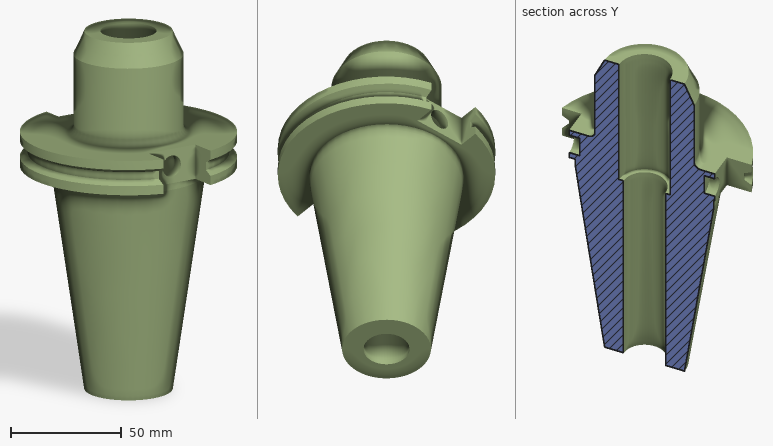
import cadquery as cq
import math

total_height = 168.2
taper_height = 101.5
collar_height = 3.2
flange_height = 16.1
flange_bottom = taper_height + collar_height
flange_top = flange_bottom + flange_height
flange_middle = flange_bottom + flange_height / 2

taper_large_diameter = 69.8
taper_ratio = 7 / 24
taper_small_diameter = taper_large_diameter - taper_height * taper_ratio

flange_diameter = 98.4
groove_depth = 3.5
groove_floor_height = 3.7
groove_mouth_height = 7.5

slot_width = 25.7
left_slot_floor_x = -37.7
right_slot_floor_x = 35.1
side_hole_diameter = 10.0
side_hole_depth = 5.0

nose_diameter = 50.0
nose_tip_diameter = 40.0
nose_cone_height = 10.8
nose_fillet_radius = 3.0

tool_bore_diameter = 25.4
tool_bore_depth = 67.3
through_bore_diameter = 20.9


def make_body():
    """Revolve the shank, flange and nose profile about Z."""
    flange_radius = flange_diameter / 2
    groove_radius = flange_radius - groove_depth
    nose_radius = nose_diameter / 2
    fillet_offset = nose_fillet_radius * (1 - math.sqrt(0.5))
    return (
        cq.Workplane("XZ")
        .lineTo(taper_small_diameter / 2, 0)
        .lineTo(taper_large_diameter / 2, taper_height)
        .lineTo(taper_large_diameter / 2, flange_bottom)
        .lineTo(flange_radius, flange_bottom)
        .lineTo(flange_radius, flange_middle - groove_mouth_height / 2)
        .lineTo(groove_radius, flange_middle - groove_floor_height / 2)
        .lineTo(groove_radius, flange_middle + groove_floor_height / 2)
        .lineTo(flange_radius, flange_middle + groove_mouth_height / 2)
        .lineTo(flange_radius, flange_top)
        .lineTo(nose_radius + nose_fillet_radius, flange_top)
        .threePointArc(
            (nose_radius + fillet_offset, flange_top + fillet_offset),
            (nose_radius, flange_top + nose_fillet_radius),
        )
        .lineTo(nose_radius, total_height - nose_cone_height)
        .lineTo(nose_tip_diameter / 2, total_height)
        .lineTo(0, total_height)
        .close()
        .revolve(360, (0, 0, 0), (0, 1, 0))
    )


def make_bore():
    """Wide tool bore from the nose, continued by a narrower through bore."""
    through_bore = cq.Workplane("XY").circle(through_bore_diameter / 2).extrude(total_height)
    tool_bore = (
        cq.Workplane("XY")
        .workplane(offset=total_height)
        .circle(tool_bore_diameter / 2)
        .extrude(-tool_bore_depth)
    )
    return through_bore.union(tool_bore)


def make_drive_slot(floor_x):
    """Slot from the floor position out through the flange rim, with its blind hole."""
    side = math.copysign(1, floor_x)
    slot_depth = flange_diameter / 2 - abs(floor_x)
    slot = cq.Workplane("XY").box(slot_depth, slot_width, flange_height).translate(
        (floor_x + side * slot_depth / 2, 0, flange_middle)
    )
    hole = (
        cq.Workplane("YZ", origin=(floor_x, 0, flange_middle))
        .circle(side_hole_diameter / 2)
        .extrude(-side * side_hole_depth)
    )
    return slot.union(hole)


result = make_body().cut(make_bore())
for slot_floor_x in (left_slot_floor_x, right_slot_floor_x):
    result = result.cut(make_drive_slot(slot_floor_x))